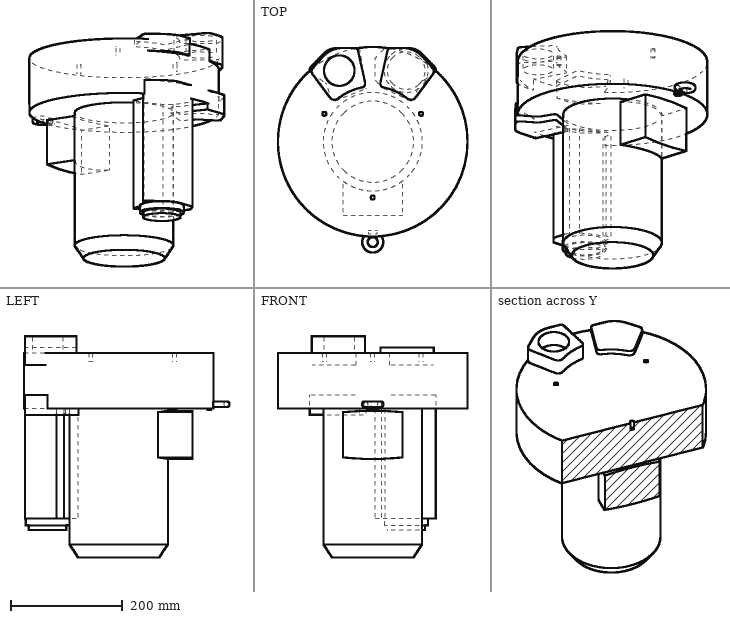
import cadquery as cq
import math

TOTAL_HEIGHT = 396.7
DRUM_TOP = 366.5
DRUM_HEIGHT = 100.0
DRUM_BOTTOM = DRUM_TOP - DRUM_HEIGHT
DRUM_DIAMETER = 340.0
DRUM_RADIUS = DRUM_DIAMETER / 2

MOTOR_RADIUS = 88.5
MOTOR_TAPER_RADIUS = 73.0
MOTOR_TAPER_HEIGHT = 23.5

MOUNT_CIRCLE_RADIUS = 100.0
MOUNT_HOLE_RADIUS = 3.5
MOUNT_HOLE_DEPTH = 16.0
MOUNT_HOLE_ANGLES = (30, 150, 270)

PORT_BACK = 168.0
PORT_X = 60.0
PORT_Y = 127.5
PORT_BORE_RADIUS = 27.5
PAD_INNER_RADIUS = 99.0
PAD_DEPTH_BELOW_TOP = 21.5
PLAIN_PAD_TOP = DRUM_TOP + 10.0
PAD_INNER_FILLET = 6.7
PAD_OUTER_FILLET = 10.0
PAD_BACK_FILLET = 47.5
PAD_FRONT_FILLET = 10.5

FLANGE_TOP = 291.0
FLANGE_BOTTOM = 255.5
FLANGE_OUTER_FILLET = 8.0
FLANGE_FRONT_FILLET = 4.8
FLANGE_BACK_FILLET = 31.7
FLANGE_BEND_FILLET = 12.0
SILENCER_BOTTOM = 70.0
SILENCER_FILLET = 10.0
SILENCER_COLLAR_RADIUS = 39.3
SILENCER_COLLAR_HEIGHT = 12.3
SILENCER_OUTLET_RADIUS = 33.7
SILENCER_OUTLET_HEIGHT = 8.5

BOX_WIDTH = 106.5
BOX_FRONT = -132.5
BOX_BOTTOM = 176.5
BOX_TOP = 263.0
BOX_BULGE = 2.8

EYE_Y = -179.7
EYE_Z = 274.5
EYE_RING_RADIUS = 14.0
EYE_WIRE_RADIUS = 5.0
EYE_COLLAR_RADIUS = 10.7
EYE_COLLAR_BACK = -159.0
EYE_COLLAR_LENGTH = 6.5


def cylinder(radius, bottom, height, x=0.0, y=0.0):
    return cq.Workplane("XY", origin=(x, y, bottom)).circle(radius).extrude(height)


def fillet_at(body, x, y, radius):
    """Round the vertical edge nearest to (x, y)."""
    middle_z = body.val().Center().z
    edge = cq.selectors.NearestToPointSelector((x, y, middle_z))
    return body.edges("|Z").edges(edge).fillet(radius)


def make_motor():
    profile = [
        (0, 0),
        (MOTOR_TAPER_RADIUS, 0),
        (MOTOR_RADIUS, MOTOR_TAPER_HEIGHT),
        (MOTOR_RADIUS, DRUM_BOTTOM),
        (0, DRUM_BOTTOM),
    ]
    return cq.Workplane("XZ").polyline(profile).close().revolve(360, (0, 0), (0, 1))


def make_pad(top):
    """Five-sided pad on the -X side; its inner side is an arc about the motor axis."""
    bottom = DRUM_TOP - PAD_DEPTH_BELOW_TOP
    outer = (-112.3, 127.0)
    back_outer = (-75.5, PORT_BACK)
    back_inner = (-27.5, PORT_BACK)
    inner_angle = math.radians(97)
    outer_angle = math.radians(135)
    middle_angle = (inner_angle + outer_angle) / 2

    def on_inner_arc(angle):
        return (PAD_INNER_RADIUS * math.cos(angle), PAD_INNER_RADIUS * math.sin(angle))

    inner = on_inner_arc(inner_angle)
    front = on_inner_arc(outer_angle)
    pad = (
        cq.Workplane("XY", origin=(0, 0, bottom))
        .moveTo(*outer)
        .lineTo(*back_outer)
        .lineTo(*back_inner)
        .lineTo(*inner)
        .threePointArc(on_inner_arc(middle_angle), front)
        .close()
        .extrude(top - bottom)
    )
    pad = fillet_at(pad, *back_outer, PAD_BACK_FILLET)
    pad = fillet_at(pad, *outer, PAD_OUTER_FILLET)
    pad = fillet_at(pad, *front, PAD_FRONT_FILLET)
    for corner in (back_inner, inner):
        pad = fillet_at(pad, *corner, PAD_INNER_FILLET)
    return pad


def make_side_block(inner_points, bottom):
    """Block on the -X side; flange and silencer share its outer corners, inner_points close it."""
    outer = (-117.5, 127.0)
    back_outer = (-77.8, PORT_BACK)
    front = (-73.0, 70.5)
    bend = (-83.0, 104.5)
    block = (
        cq.Workplane("XY", origin=(0, 0, bottom))
        .polyline([front, bend, outer, back_outer] + inner_points)
        .close()
        .extrude(FLANGE_TOP - bottom)
    )
    block = fillet_at(block, *back_outer, FLANGE_BACK_FILLET)
    block = fillet_at(block, *bend, FLANGE_BEND_FILLET)
    block = fillet_at(block, *outer, FLANGE_OUTER_FILLET)
    return fillet_at(block, *front, FLANGE_FRONT_FILLET)


def make_flange():
    return make_side_block([(-24.0, PORT_BACK), (-12.0, 95.2)], FLANGE_BOTTOM)


def make_silencer():
    side_back = (-4.0, 149.5)
    side_front = (-4.0, 111.0)
    body = make_side_block([(-22.0, PORT_BACK), side_back, side_front, (-16.0, 97.5)], SILENCER_BOTTOM)
    body = fillet_at(body, *side_back, SILENCER_FILLET).mirror("YZ")
    collar_bottom = SILENCER_BOTTOM - SILENCER_COLLAR_HEIGHT
    outlet_bottom = collar_bottom - SILENCER_OUTLET_HEIGHT
    collar = cylinder(SILENCER_COLLAR_RADIUS, collar_bottom, SILENCER_COLLAR_HEIGHT, PORT_X, PORT_Y)
    outlet = cylinder(SILENCER_OUTLET_RADIUS, outlet_bottom, SILENCER_OUTLET_HEIGHT, PORT_X, PORT_Y)
    return body.union(collar).union(outlet)


def make_terminal_box():
    """Box with slightly bulged top and bottom, running back to the motor axis."""
    half_width = BOX_WIDTH / 2
    return (
        cq.Workplane("XZ")
        .moveTo(-half_width, BOX_BOTTOM + BOX_BULGE)
        .threePointArc((0, BOX_BOTTOM), (half_width, BOX_BOTTOM + BOX_BULGE))
        .lineTo(half_width, BOX_TOP - BOX_BULGE)
        .threePointArc((0, BOX_TOP), (-half_width, BOX_TOP - BOX_BULGE))
        .close()
        .extrude(-BOX_FRONT)
    )


def make_lifting_eye():
    center = cq.Vector(0, EYE_Y, EYE_Z)
    vertical = cq.Vector(0, 0, 1)
    ring = cq.Workplane(cq.Solid.makeTorus(EYE_RING_RADIUS, EYE_WIRE_RADIUS, center, vertical))
    collar = (
        cq.Workplane("XZ", origin=(0, EYE_COLLAR_BACK, EYE_Z))
        .circle(EYE_COLLAR_RADIUS)
        .extrude(EYE_COLLAR_LENGTH)
    )
    return ring.union(collar)


def make_mount_holes():
    holes = cq.Workplane("XY")
    for angle in MOUNT_HOLE_ANGLES:
        x = MOUNT_CIRCLE_RADIUS * math.cos(math.radians(angle))
        y = MOUNT_CIRCLE_RADIUS * math.sin(math.radians(angle))
        holes = holes.union(cylinder(MOUNT_HOLE_RADIUS, DRUM_TOP - MOUNT_HOLE_DEPTH, MOUNT_HOLE_DEPTH, x, y))
    return holes


port_bore = cylinder(PORT_BORE_RADIUS, DRUM_TOP, TOTAL_HEIGHT - DRUM_TOP, -PORT_X, PORT_Y)

result = (
    cylinder(DRUM_RADIUS, DRUM_BOTTOM, DRUM_HEIGHT)
    .union(make_motor())
    .union(make_pad(TOTAL_HEIGHT))
    .union(make_pad(PLAIN_PAD_TOP).mirror("YZ"))
    .union(make_flange())
    .union(make_silencer())
    .union(make_terminal_box())
    .union(make_lifting_eye())
    .cut(port_bore)
    .cut(make_mount_holes())
)